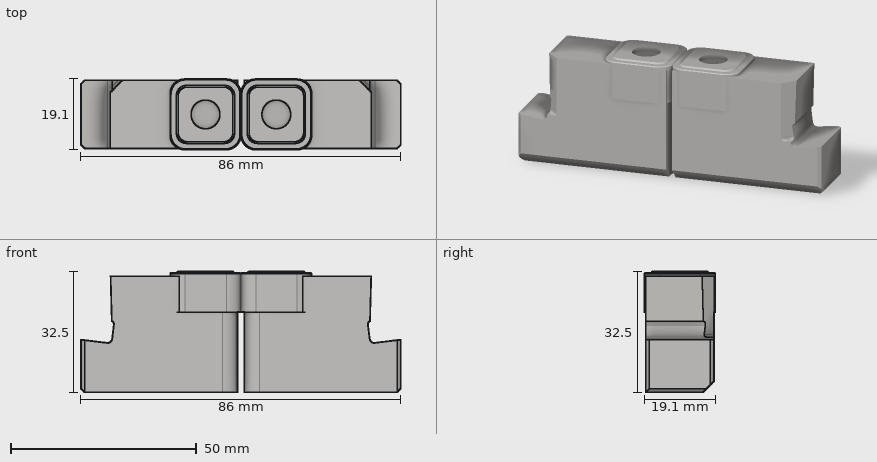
import cadquery as cq
import math


insert_size = 19.05
insert_corner_radius = 4.0
insert_bottom_z = 21.6
insert_bevel = 0.25
rim_z = 32.15
land_top_z = 32.54
land_inset = 1.7
land_slope_width = 0.5
land_corner_radius = 2.8
bore_diameter = 7.75
bore_depth = 1.2

half_length = 43.0
holder_width = 18.4
holder_top_z = 31.3
gap_half_width = 0.9
inner_corner_radius = 4.1

notch_angle = math.radians(7)
upper_wall_top_x = 35.07
upper_wall_bottom_x = 34.75
upper_wall_bottom_z = 19.2
groove_x = 34.2
groove_z = 18.15
groove_radius = 0.9
seat_root_x = 34.8
seat_root_z = 13.2
seat_fillet_radius = 1.2

end_chamfer = 1.0
back_bottom_chamfer = 3.0
relief_size = 3.22
relief_floor_z = 14.8
relief_fillet_radius = 0.8

half_width = holder_width / 2


def rounded_square(size, corner_radius, bottom_z, height):
    return (
        cq.Workplane("XY", origin=(-insert_size / 2, 0, bottom_z))
        .rect(size, size)
        .extrude(height)
        .edges("|Z")
        .fillet(corner_radius)
    )


def insert_blank():
    """Plain insert up to its rim, also the shape of the pocket it sits in."""
    return rounded_square(insert_size, insert_corner_radius, insert_bottom_z, rim_z - insert_bottom_z)


def make_insert():
    """Square insert with a bevelled rim, a raised sloped land and a shallow round recess."""
    land_height = land_top_z - rim_z
    land_size = insert_size - 2 * land_inset
    land = (
        rounded_square(land_size, land_corner_radius, insert_bottom_z, land_top_z - insert_bottom_z)
        .faces(">Z")
        .chamfer(land_height, land_slope_width)
    )
    bore = (
        cq.Workplane("XY", origin=(-insert_size / 2, 0, land_top_z - bore_depth))
        .circle(bore_diameter / 2)
        .extrude(bore_depth)
    )
    return insert_blank().faces(">Z").edges().chamfer(insert_bevel).union(land).cut(bore)


def holder_profile():
    """Side outline with the clamping notch, extruded across the full holder width."""
    seat_end_z = seat_root_z + (half_length - seat_root_x) * math.tan(notch_angle)
    return (
        cq.Workplane("XZ", origin=(0, half_width, 0))
        .moveTo(-gap_half_width, 0)
        .lineTo(-half_length, 0)
        .lineTo(-half_length, seat_end_z)
        .lineTo(-seat_root_x, seat_root_z)
        .lineTo(-groove_x, groove_z)
        .radiusArc((-upper_wall_bottom_x, upper_wall_bottom_z), -groove_radius)
        .lineTo(-upper_wall_top_x, holder_top_z)
        .lineTo(-gap_half_width, holder_top_z)
        .close()
        .extrude(holder_width)
    )


def round_seat_root(holder):
    root = cq.selectors.NearestToPointSelector((-seat_root_x, 0, seat_root_z))
    return holder.edges("|Y").edges(root).fillet(seat_fillet_radius)


def corner_prism(plane, origin, leg_a, leg_b, length):
    """Triangular prism with its right angle at origin, used to cut a chamfer."""
    return (
        cq.Workplane(plane, origin=origin)
        .polyline([(0, 0), (leg_a, 0), (0, leg_b)])
        .close()
        .extrude(length)
    )


def break_outer_edges(holder):
    for side in (1, -1):
        origin = (-half_length, side * half_width, 0)
        holder = holder.cut(corner_prism("XY", origin, end_chamfer, -side * end_chamfer, holder_top_z))
    end_bottom = corner_prism("XZ", (-half_length, half_width, 0), end_chamfer, end_chamfer, holder_width)
    back_bottom = corner_prism(
        "YZ", (-half_length, half_width, 0), -back_bottom_chamfer, back_bottom_chamfer, half_length
    )
    return holder.cut(end_bottom).cut(back_bottom)


def cut_back_relief(holder):
    """Vertical 45 degree relief on the back corner above the seat, rounded where it meets its floor."""
    reach = half_length - upper_wall_top_x
    leg = relief_size + reach
    relief = corner_prism("XY", (-half_length, half_width, relief_floor_z), leg, -leg, holder_top_z)
    sloped_floor_edge = cq.selectors.NearestToPointSelector(
        (-half_length + leg / 2, half_width - leg / 2, relief_floor_z)
    )
    return holder.cut(relief.edges(sloped_floor_edge).fillet(relief_fillet_radius))


def make_holder():
    holder = round_seat_root(holder_profile())
    holder = holder.edges("|Z and >X and <Y").fillet(inner_corner_radius)
    holder = break_outer_edges(holder)
    holder = cut_back_relief(holder)
    return holder.cut(insert_blank())


bodies = []
for left_body in (make_holder(), make_insert()):
    bodies.append(left_body.val())
    bodies.append(left_body.mirror("YZ").val())

result = cq.Compound.makeCompound(bodies)